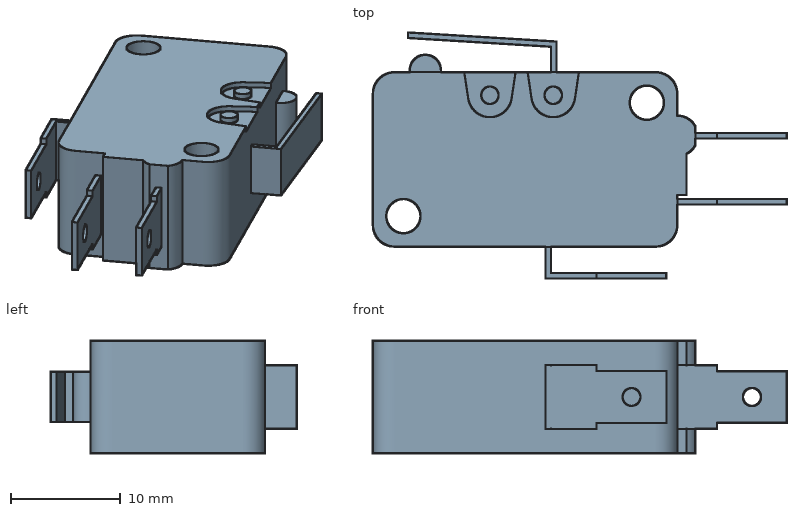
import cadquery as cq
import math

HOUSING_LENGTH = 27.82
HOUSING_WIDTH = 15.95
HOUSING_HEIGHT = 10.3
HOUSING_TOP = HOUSING_HEIGHT / 2
CORNER_RADIUS = 2.0
MOUNT_HOLE_DIAMETER = 3.1
MOUNT_HOLE_INSET = 2.8

BOSS_RADIUS = 1.85
BOSS_Y = 10.13
BOSS_END_X = 29.45
STEP_END_X = 28.65
STEP_BOTTOM_Y = 4.72

PEG_X = [10.7, 16.48]
PEG_Y = 13.85
PEG_RADIUS = 0.8
PEG_HEIGHT = 0.5
RECESS_RADIUS = 2.0
RECESS_MOUTH_WIDTH = 4.7
RECESS_DEPTH = 0.5

PLUNGER_X = 4.8
PLUNGER_RADIUS = 1.45
PLUNGER_STRAIGHT = 0.15

SHEET = 0.53
ROOT_WIDTH = 5.82
BLADE_WIDTH = 4.72
ROOT_STEP_BACK = 6.35
HOLE_BACK = 3.18
TERMINAL_HOLE_DIAMETER = 1.63
END_TERMINAL_TIP_X = 37.8
END_TERMINAL_Y = [4.12, 10.13]
SIDE_TERMINAL_X = 15.75
SIDE_TERMINAL_TIP_X = 26.8
SIDE_TERMINAL_BOTTOM_Y = -2.9

LEVER_WIDTH = 4.6
LEVER_TIP_X = 3.2
LEVER_TIP_Y = 19.58
LEVER_POST_X = 16.8
LEVER_ELBOW_Y = 18.75


def block(x_start, x_end, y_start, y_end, height):
    """Rectangular block centred on Z = 0."""
    return (
        cq.Workplane("XY")
        .box(x_end - x_start, y_end - y_start, height, centered=(False, False, True))
        .translate((x_start, y_start, 0))
    )


def make_case():
    """Rounded case with its end boss, end step and two mounting holes."""
    case = block(0, HOUSING_LENGTH, 0, HOUSING_WIDTH, HOUSING_HEIGHT)
    case = case.edges("|Z").fillet(CORNER_RADIUS)
    boss = cq.Workplane("XY").center(HOUSING_LENGTH, BOSS_Y).circle(BOSS_RADIUS)
    boss = boss.extrude(HOUSING_TOP, both=True)
    boss_limits = block(
        HOUSING_LENGTH - BOSS_RADIUS, BOSS_END_X, BOSS_Y - BOSS_RADIUS, BOSS_Y + BOSS_RADIUS, HOUSING_HEIGHT
    )
    step = block(HOUSING_LENGTH, STEP_END_X, STEP_BOTTOM_Y, BOSS_Y, HOUSING_HEIGHT)
    case = case.union(boss.intersect(boss_limits)).union(step)
    hole_points = [
        (MOUNT_HOLE_INSET, MOUNT_HOLE_INSET),
        (HOUSING_LENGTH - MOUNT_HOLE_INSET, HOUSING_WIDTH - MOUNT_HOLE_INSET),
    ]
    holes = cq.Workplane("XY").pushPoints(hole_points).circle(MOUNT_HOLE_DIAMETER / 2)
    return case.cut(holes.extrude(HOUSING_TOP, both=True))


def make_recess(peg_x):
    """Cutter whose straight sides run tangentially from the mouth into a round end."""
    half_mouth = RECESS_MOUTH_WIDTH / 2
    mouth_rise = HOUSING_WIDTH - PEG_Y
    mouth_distance = math.hypot(half_mouth, mouth_rise)
    tangent_angle = math.atan2(mouth_rise, half_mouth) - math.acos(RECESS_RADIUS / mouth_distance)
    tangent_x = RECESS_RADIUS * math.cos(tangent_angle)
    tangent_y = RECESS_RADIUS * math.sin(tangent_angle)
    return (
        cq.Workplane("XY", origin=(peg_x, PEG_Y, HOUSING_TOP - RECESS_DEPTH))
        .moveTo(-half_mouth, mouth_rise)
        .lineTo(-tangent_x, tangent_y)
        .threePointArc((0, -RECESS_RADIUS), (tangent_x, tangent_y))
        .lineTo(half_mouth, mouth_rise)
        .close()
        .extrude(RECESS_DEPTH)
    )


def make_peg(peg_x):
    """Round peg standing on the floor of a recess."""
    floor = cq.Workplane("XY", origin=(peg_x, PEG_Y, HOUSING_TOP - RECESS_DEPTH))
    return floor.circle(PEG_RADIUS).extrude(PEG_HEIGHT)


def make_plunger():
    """Button with a short straight base and a half-round top."""
    shoulder_y = HOUSING_WIDTH + PLUNGER_STRAIGHT
    return (
        cq.Workplane("XY")
        .moveTo(PLUNGER_X - PLUNGER_RADIUS, HOUSING_WIDTH)
        .lineTo(PLUNGER_X - PLUNGER_RADIUS, shoulder_y)
        .threePointArc((PLUNGER_X, shoulder_y + PLUNGER_RADIUS), (PLUNGER_X + PLUNGER_RADIUS, shoulder_y))
        .lineTo(PLUNGER_X + PLUNGER_RADIUS, HOUSING_WIDTH)
        .close()
        .extrude(LEVER_WIDTH / 2, both=True)
    )


def make_terminal(start_x, tip_x, bottom_y):
    """Flat terminal along X: wide root, narrower blade and a hole through the blade."""
    step_x = tip_x - ROOT_STEP_BACK
    top_y = bottom_y + SHEET
    root = block(start_x, step_x, bottom_y, top_y, ROOT_WIDTH)
    blade = block(step_x, tip_x, bottom_y, top_y, BLADE_WIDTH)
    hole = cq.Workplane("XZ", origin=(tip_x - HOLE_BACK, top_y, 0)).circle(TERMINAL_HOLE_DIAMETER / 2)
    return root.union(blade).cut(hole.extrude(SHEET))


def make_housing():
    """Case together with its pegs, plunger and three terminals."""
    housing = make_case()
    for peg_x in PEG_X:
        housing = housing.cut(make_recess(peg_x)).union(make_peg(peg_x))
    housing = housing.union(make_plunger())
    for center_y in END_TERMINAL_Y:
        housing = housing.union(make_terminal(HOUSING_LENGTH, END_TERMINAL_TIP_X, center_y - SHEET / 2))
    side_leg = block(SIDE_TERMINAL_X, SIDE_TERMINAL_X + SHEET, SIDE_TERMINAL_BOTTOM_Y, 0, ROOT_WIDTH)
    side_terminal = make_terminal(SIDE_TERMINAL_X, SIDE_TERMINAL_TIP_X, SIDE_TERMINAL_BOTTOM_Y)
    return housing.union(side_leg).union(side_terminal)


def make_lever():
    """Bent strip: a post on the housing wall and an arm reaching over the plunger."""
    post_inner_x = LEVER_POST_X - SHEET
    arm_slope = (LEVER_TIP_Y - LEVER_ELBOW_Y) / (LEVER_POST_X - LEVER_TIP_X)
    inner_elbow_y = LEVER_ELBOW_Y + SHEET * arm_slope - SHEET
    return (
        cq.Workplane("XY")
        .moveTo(LEVER_POST_X, HOUSING_WIDTH)
        .lineTo(LEVER_POST_X, LEVER_ELBOW_Y)
        .lineTo(LEVER_TIP_X, LEVER_TIP_Y)
        .lineTo(LEVER_TIP_X, LEVER_TIP_Y - SHEET)
        .lineTo(post_inner_x, inner_elbow_y)
        .lineTo(post_inner_x, HOUSING_WIDTH)
        .close()
        .extrude(LEVER_WIDTH / 2, both=True)
    )


housing = make_housing()
lever = make_lever()

result = cq.Compound.makeCompound([housing.solids().val(), lever.solids().val()])